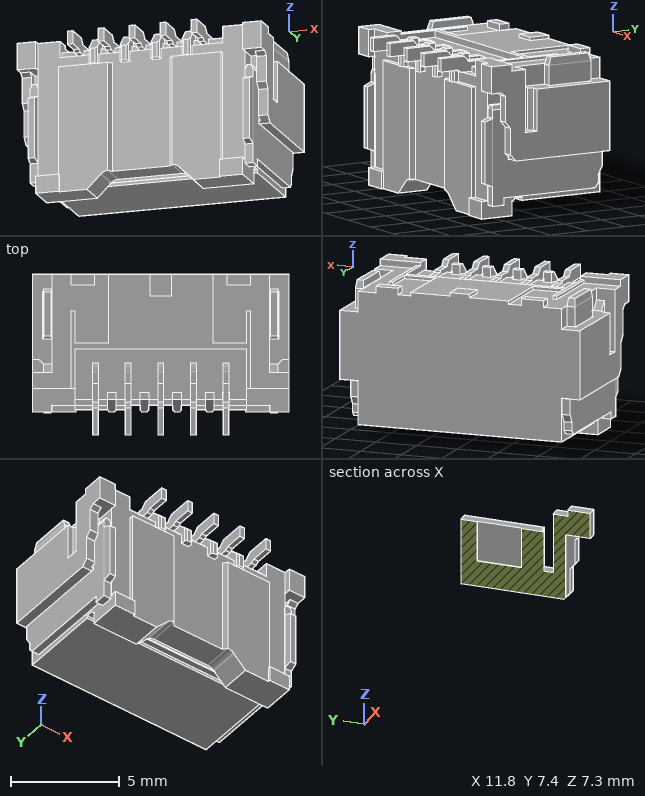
import cadquery as cq


half_width = 5.9
core_half = 5.0
bottom_z = 0.67
roof_z = 6.96
raised_z = 7.12
top_z = 7.27
front_depth = 6.03
block_front = 6.35

shoulder_z = 6.0
wing_bottom_z = 2.74
plate_outer = 5.39
plate_seat_outer = 5.44
plate_seat_depth = 5.15
wing_edge_depth = 5.6
wing_edge_chamfer = 0.24
wing_edge_chamfer_drop = 0.19
wing_step_depth = 5.35
wing_step_top_z = 4.59
wing_step_drop = 0.3
wing_toe_depth = 5.04
wing_toe_rise = 0.31
slot_start = 3.92
slot_end = 4.53
slot_bottom_z = 4.02
slot_lead = 0.21

pocket_half = 3.93
pocket_start = 3.43
pocket_floor_z = 6.8
pocket_floor_end = 5.76
ledge_z = 6.49

bridge_start = 3.17
plateau_half = 2.41
rib_width = 0.19
rib_start = 1.7
corner_start = 5.25
side_pad_center = 3.58
side_pad_width = 1.09
side_pad_length = 0.51
center_pad_width = 0.97
center_pad_length = 1.0

panel_front = 6.24
panel_inner = 1.56
panel_bevel = 0.17
foot_back = 4.71
foot_gap_half = 2.56
foot_gap_z = 0.81
foot_gap_round = 0.47
foot_block_inner = 3.88
foot_block_z = 0.83
groove_start = 4.19
groove_top_z = 0.83
groove_chamfer = 0.19

pitch = 1.5
terminal_count = 5
terminal_width = 0.27
terminal_top_z = 7.3
terminal_start = 4.1
terminal_tip_end = 4.48
terminal_tip_z = 6.93
terminal_tip_bulge = 0.04
terminal_step_depth = 5.03
terminal_step_z = 7.03
terminal_rise_start = 5.88
terminal_rise_end = 6.15
terminal_root_end = 6.3
terminal_root_z = 6.56
tail_start = 6.49
tail_end = 7.4
tail_bottom_z = 6.68
peg_count = terminal_count - 1
peg_width = 0.4
peg_chamfer = 0.1
peg_start = 5.45
peg_nose_z = 6.7
relief_width = 0.34
relief_start = peg_start

plate_back = 0.1
plate_back_bend_z = 1.96
plate_tail_depth = 0.32
plate_tail_top_z = 1.57
plate_tail_bottom_z = 1.17
plate_bottom_z = 0.97
plate_bottom_start = 0.51
plate_leg_start = 5.38
plate_leg_z = 0.63
tab_start = 0.7
tab_end = 2.97
tab_clearance_start = 0.8
tab_base_z = 6.93
tab_inset = 0.13
fin_front = 6.38
fin_bottom_z = 1.55
fin_top_z = 4.74
fin_inset = 0.15
edge_inset = 0.04
plate_nose_depth = 6.0
plate_nose_z = 5.33
nose_chamfer_width = 0.1
nose_chamfer_height = 0.2


def block(x_min, x_max, depth_min, depth_max, z_min, z_max):
    """Box given by its limits in X, depth and Z."""
    size = (x_max - x_min, depth_max - depth_min, z_max - z_min)
    return cq.Workplane("XY").box(*size, centered=False).translate((x_min, -depth_max, z_min))


def side_prism(outline, x_min, x_max):
    """Extrude a (depth, z) outline along X."""
    points = [(-depth, z) for depth, z in outline]
    return cq.Workplane("YZ").workplane(offset=x_min).polyline(points).close().extrude(x_max - x_min)


def both_sides(shape):
    """The shape together with its mirror image across the YZ plane."""
    return shape.union(shape.mirror("YZ"))


def row_positions(count):
    """X places of evenly pitched items centered on the part."""
    return [(i - (count - 1) / 2) * pitch for i in range(count)]


def make_core():
    """Central block with its raised roof areas, pads and front corner columns."""
    core = block(-core_half, core_half, 0, front_depth, bottom_z, roof_z)
    core = core.union(block(-plateau_half, plateau_half, 0, bridge_start, roof_z, raised_z))
    core = core.union(block(-pocket_half, pocket_half, bridge_start, pocket_start, roof_z, raised_z))
    half_pad = center_pad_width / 2
    core = core.union(block(-half_pad, half_pad, 0, center_pad_length, roof_z, top_z))

    rib = block(pocket_half, pocket_half + rib_width, rib_start, corner_start, roof_z, raised_z)
    pad_inner = side_pad_center - side_pad_width / 2
    pad = block(pad_inner, pad_inner + side_pad_width, 0, side_pad_length, roof_z, top_z)
    column = block(pocket_half, core_half, corner_start, front_depth, roof_z, top_z)
    return core.union(both_sides(rib.union(pad).union(column)))


def make_wing():
    """Right-hand wing with its stepped front edge, tall slot and plate seat."""
    outline = [
        (0, shoulder_z),
        (slot_end, shoulder_z),
        (slot_end, roof_z),
        (corner_start, roof_z),
        (corner_start, top_z),
        (block_front, top_z),
        (block_front, shoulder_z),
        (wing_edge_depth + wing_edge_chamfer, shoulder_z),
        (wing_edge_depth, shoulder_z - wing_edge_chamfer_drop),
        (wing_edge_depth, wing_step_top_z),
        (wing_step_depth, wing_step_top_z - wing_step_drop),
        (wing_step_depth, wing_bottom_z + wing_toe_rise),
        (wing_toe_depth, wing_bottom_z),
        (0, wing_bottom_z),
    ]
    wing = side_prism(outline, core_half, half_width)
    slot_outline = [
        (half_width, -slot_start),
        (plate_outer + slot_lead, -slot_start),
        (plate_outer, -slot_start - slot_lead),
        (plate_outer, -slot_end),
        (half_width, -slot_end),
    ]
    slot = cq.Workplane("XY").workplane(offset=slot_bottom_z).polyline(slot_outline).close()
    wing = wing.cut(slot.extrude(shoulder_z - slot_bottom_z))

    ramp_start = slot_start + slot_lead
    ramp_rise = slot_end - ramp_start
    ramp = [
        (ramp_start, shoulder_z),
        (slot_end, shoulder_z),
        (slot_end, shoulder_z + ramp_rise),
    ]
    wing = wing.union(side_prism(ramp, core_half, plate_outer))
    seat = block(core_half, plate_seat_outer, plate_seat_depth, block_front, wing_bottom_z, shoulder_z)
    clearance = block(
        plate_outer, plate_seat_outer, tab_clearance_start, tab_end, slot_bottom_z, shoulder_z
    )
    return wing.cut(seat).cut(clearance)


def make_front_panel():
    """Right-hand raised front panel with a beveled inner edge."""
    outline = [
        (pocket_half, -foot_back),
        (pocket_half, -panel_front),
        (panel_inner, -panel_front),
        (panel_inner - panel_bevel, -front_depth),
        (panel_inner - panel_bevel, -foot_back),
    ]
    return cq.Workplane("XY").polyline(outline).close().extrude(shoulder_z)


def make_foot():
    """Right-hand foot under the front edge, with its thicker outer block."""
    foot = block(0, core_half, foot_back, front_depth, 0, bottom_z)
    return foot.union(block(foot_block_inner, core_half, foot_back, block_front, 0, foot_block_z))


def make_foot_gap():
    """Opening between the feet: 45 degree sides rounded into a flat top."""
    sine_45 = 0.5 ** 0.5
    arc_drop = foot_gap_round * (1 - sine_45)
    arc_run = foot_gap_round * sine_45
    arc_x = foot_gap_half - (foot_gap_z - arc_drop)
    flat_x = arc_x - arc_run
    gap = (
        cq.Workplane("XZ")
        .moveTo(-foot_gap_half, 0)
        .lineTo(-arc_x, foot_gap_z - arc_drop)
        .tangentArcPoint((-flat_x, foot_gap_z), relative=False)
        .lineTo(flat_x, foot_gap_z)
        .tangentArcPoint((arc_x, foot_gap_z - arc_drop), relative=False)
        .lineTo(foot_gap_half, 0)
        .close()
        .extrude(block_front)
    )
    return gap.intersect(block(-half_width, half_width, foot_back, block_front, 0, foot_gap_z))


def make_bottom_groove():
    """Groove across the underside just behind the feet, chamfered at the front."""
    outline = [
        (groove_start, 0),
        (groove_start, groove_top_z),
        (foot_back - groove_chamfer, groove_top_z),
        (foot_back, groove_top_z - groove_chamfer),
        (foot_back, 0),
    ]
    return side_prism(outline, -half_width, half_width)


def make_pocket():
    """Roof pocket for the terminals, stepping down to a ledge at the front."""
    floor = block(-pocket_half, pocket_half, pocket_start, block_front, pocket_floor_z, top_z)
    ledge = block(-pocket_half, pocket_half, pocket_floor_end, block_front, ledge_z, top_z)
    return floor.union(ledge)


def make_terminal():
    """Terminal at X = 0, rising in steps to a straight tail."""
    terminal = (
        cq.Workplane("YZ")
        .moveTo(-terminal_start, terminal_root_z)
        .lineTo(-terminal_start, pocket_floor_z)
        .sagittaArc((-terminal_tip_end, terminal_tip_z), -terminal_tip_bulge)
        .lineTo(-terminal_step_depth, terminal_tip_z)
        .lineTo(-terminal_step_depth, terminal_step_z)
        .lineTo(-terminal_rise_start, terminal_step_z)
        .lineTo(-terminal_rise_end, terminal_top_z)
        .lineTo(-tail_end, terminal_top_z)
        .lineTo(-tail_end, tail_bottom_z)
        .lineTo(-tail_start, tail_bottom_z)
        .lineTo(-terminal_root_end, terminal_root_z)
        .close()
    )
    return terminal.extrude(terminal_width / 2, both=True)


def make_peg():
    """Peg at X = 0 with a sloped nose and chamfered front edges."""
    outline = [
        (peg_start, shoulder_z),
        (peg_start, top_z),
        (pocket_floor_end, top_z),
        (block_front, peg_nose_z),
        (block_front, shoulder_z),
    ]
    peg = side_prism(outline, -peg_width / 2, peg_width / 2)
    return peg.faces("<Y").edges("|Z").chamfer(peg_chamfer)


def make_hold_down():
    """Right-hand hold-down plate with a tapered top tab and a tapered front fin."""
    outline = [
        (plate_back, wing_bottom_z),
        (plate_back, plate_back_bend_z),
        (plate_tail_depth, plate_tail_top_z),
        (plate_tail_depth, plate_tail_bottom_z),
        (plate_bottom_start, plate_bottom_z),
        (plate_leg_start, plate_bottom_z),
        (plate_leg_start, plate_leg_z),
        (plate_nose_depth, plate_leg_z),
        (plate_nose_depth, plate_nose_z),
        (plate_seat_depth, plate_nose_z),
        (plate_seat_depth, wing_bottom_z),
    ]
    plate = side_prism(outline, core_half, plate_outer)
    plate = plate.faces(">Z").edges("|Y").chamfer(nose_chamfer_width, nose_chamfer_height)

    thickness = plate_outer - core_half
    center_x = (plate_outer + core_half) / 2
    tab_length = tab_end - tab_start
    center_y = -(tab_start + tab_end) / 2
    tab = block(core_half, plate_outer, tab_start, tab_end, shoulder_z, tab_base_z)
    tab_top = (
        cq.Workplane("XY", origin=(center_x, center_y, tab_base_z))
        .rect(thickness, tab_length)
        .workplane(offset=terminal_top_z - tab_base_z)
        .rect(thickness - 2 * edge_inset, tab_length - 2 * tab_inset)
        .loft()
    )
    fin_height = fin_top_z - fin_bottom_z
    fin = (
        cq.Workplane("XZ", origin=(center_x, -plate_nose_depth, (fin_top_z + fin_bottom_z) / 2))
        .rect(thickness, fin_height)
        .workplane(offset=fin_front - plate_nose_depth)
        .rect(thickness - 2 * edge_inset, fin_height - 2 * fin_inset)
        .loft()
    )
    return plate.union(tab).union(tab_top).union(fin)


housing = make_core()
housing = housing.union(both_sides(make_wing().union(make_front_panel()).union(make_foot())))
housing = housing.cut(make_foot_gap()).cut(make_bottom_groove()).cut(make_pocket())

relief_x = row_positions(terminal_count)[-1]
housing = housing.cut(
    block(
        relief_x - relief_width / 2,
        relief_x + relief_width / 2,
        relief_start,
        pocket_floor_end,
        ledge_z,
        pocket_floor_z,
    )
)

result = housing.union(both_sides(make_hold_down()))
for x in row_positions(terminal_count):
    result = result.union(make_terminal().translate((x, 0, 0)))
for x in row_positions(peg_count):
    result = result.union(make_peg().translate((x, 0, 0)))